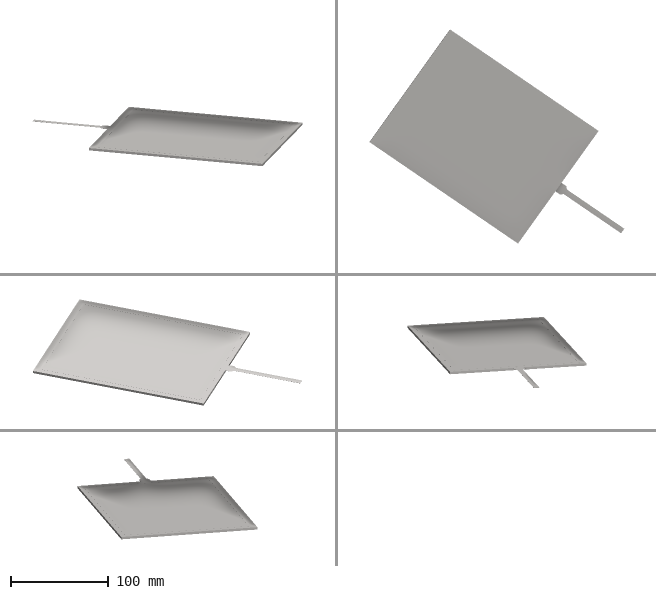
import cadquery as cq

TOTAL_LENGTH = 265.5
TOTAL_HEIGHT = 2.6

PANEL_LENGTH = 185.0
PANEL_WIDTH = 143.5
BORDER_INSET = 5.3
BORDER_WIDTH = 2.0
BORDER_HEIGHT = 0.1
PANEL_THICKNESS = TOTAL_HEIGHT - BORDER_HEIGHT

CABLE_LENGTH = TOTAL_LENGTH - PANEL_LENGTH
CABLE_WIDTH = 5.8
CABLE_THICKNESS = 0.1
CABLE_TOP_DROP = 0.05
FLARE_WIDTH = 11.0
FLARE_LENGTH = 6.5
FLARE_TAPER = 2.5
TIP_LENGTH = 9.8
STIFFENER_THICKNESS = 0.1

PAD_COUNT = 4
PAD_LENGTH = 4.0
PAD_WIDTH = 0.66
PAD_PITCH = 1.0
PAD_THICKNESS = 0.05

PANEL_LEFT = -PANEL_LENGTH / 2
CABLE_END = PANEL_LEFT - CABLE_LENGTH
CABLE_TOP = PANEL_THICKNESS - CABLE_TOP_DROP


def make_panel():
    """Plate with a low raised border; the active area inside it stays flat."""
    plate = cq.Workplane("XY").box(
        PANEL_LENGTH, PANEL_WIDTH, PANEL_THICKNESS, centered=(True, True, False)
    )
    outer_length = PANEL_LENGTH - 2 * BORDER_INSET
    outer_width = PANEL_WIDTH - 2 * BORDER_INSET
    border = (
        cq.Workplane("XY", origin=(0, 0, PANEL_THICKNESS))
        .rect(outer_length, outer_width)
        .rect(outer_length - 2 * BORDER_WIDTH, outer_width - 2 * BORDER_WIDTH)
        .extrude(BORDER_HEIGHT)
    )
    return plate.union(border)


def make_cable():
    """Flared strip butting against the panel edge, thicker on top at its tip, with pads below."""
    flare_start = PANEL_LEFT - FLARE_LENGTH
    strip = (
        cq.Workplane("XY", origin=(0, 0, CABLE_TOP - CABLE_THICKNESS))
        .moveTo(CABLE_END, 0)
        .lineTo(CABLE_END, CABLE_WIDTH / 2)
        .lineTo(flare_start - FLARE_TAPER, CABLE_WIDTH / 2)
        .lineTo(flare_start, FLARE_WIDTH / 2)
        .lineTo(PANEL_LEFT, FLARE_WIDTH / 2)
        .lineTo(PANEL_LEFT, 0)
        .mirrorX()
        .extrude(CABLE_THICKNESS)
    )
    stiffener = cq.Workplane("XY", origin=(CABLE_END, 0, CABLE_TOP)).box(
        TIP_LENGTH, CABLE_WIDTH, STIFFENER_THICKNESS, centered=(False, True, False)
    )
    cable_body = strip.union(stiffener)
    pad_bottom = CABLE_TOP - CABLE_THICKNESS - PAD_THICKNESS
    for index in range(PAD_COUNT):
        pad_y = (index - (PAD_COUNT - 1) / 2) * PAD_PITCH
        pad = cq.Workplane("XY", origin=(CABLE_END, pad_y, pad_bottom)).box(
            PAD_LENGTH, PAD_WIDTH, PAD_THICKNESS, centered=(False, True, False)
        )
        cable_body = cable_body.union(pad)
    return cable_body


panel = make_panel()
cable = make_cable()

result = cq.Compound.makeCompound([panel.val(), cable.val()])